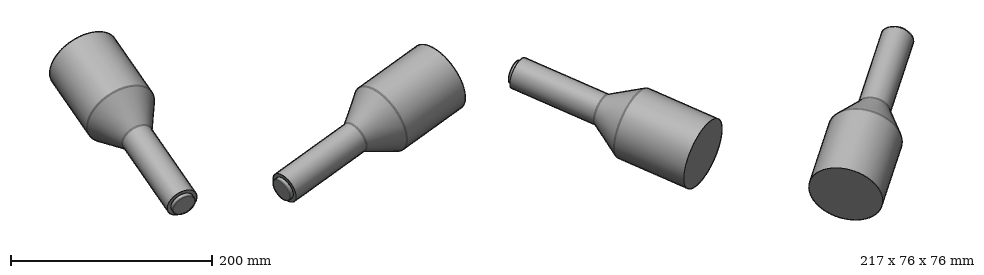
import cadquery as cq

total_length = 217.0
head_length = 80.5
cone_length = 35.4
tip_length = 4.3

head_diameter = 76.0
handle_diameter = 33.5
tip_diameter = 25.2

cone_blend_radius = 2.2

tip_round_radius = 0.7

head_start = -total_length / 2
cone_start = head_start + head_length
handle_start = cone_start + cone_length
tip_end = total_length / 2
tip_start = tip_end - tip_length

profile = (
    cq.Workplane("XZ")
    .moveTo(head_start, 0)
    .lineTo(head_start, head_diameter / 2)
    .lineTo(cone_start, head_diameter / 2)
    .lineTo(handle_start, handle_diameter / 2)
    .lineTo(tip_start, handle_diameter / 2)
    .lineTo(tip_start, tip_diameter / 2)
    .lineTo(tip_end, tip_diameter / 2)
    .lineTo(tip_end, 0)
    .close()
)
body = profile.revolve(360, (0, 0, 0), (1, 0, 0))

cone_edges = body.faces("%CONE").edges("%CIRCLE")
blended_body = cone_edges.fillet(cone_blend_radius)
result = blended_body.faces(">X").edges().fillet(tip_round_radius)